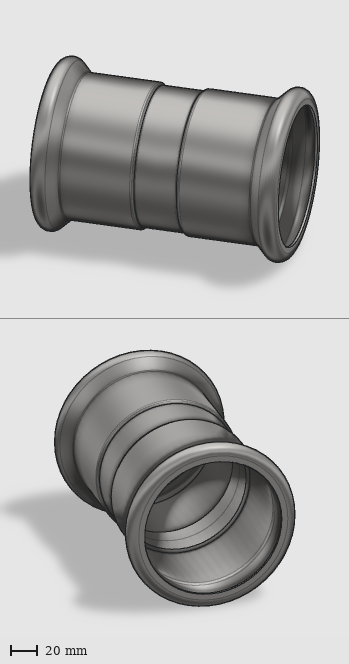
import cadquery as cq
import math

length = 192.0
bead_diameter = 132.7
bead_round = 7.7
flare_angle = math.radians(44)
body_diameter = 112.0
body_bore_diameter = 108.0
neck_diameter = 108.0
neck_bore_diameter = 101.8
neck_half_length = 16.5
flare_blend = 1.7
step_blend = 2.0

half_length = length / 2
body_radius = body_diameter / 2
bore_radius = body_bore_diameter / 2
neck_radius = neck_diameter / 2
wall = body_radius - bore_radius

bead_x = half_length - bead_round
bead_radius = bead_diameter / 2 - bead_round

step_top_x = neck_half_length + body_radius - neck_radius


def flare_start(round_radius):
    """Point where a round of the bead runs tangentially into the flare."""
    return (
        bead_x - round_radius * math.sin(flare_angle),
        bead_radius + round_radius * math.cos(flare_angle),
    )


def flare_foot(round_radius, tube_radius):
    """Point where the flare meets the straight tube."""
    start_x, start_radius = flare_start(round_radius)
    return (start_x - (start_radius - tube_radius) / math.tan(flare_angle), tube_radius)


def revolve_about_x(profile):
    return profile.close().revolve(360, (0, 0, 0), (1, 0, 0))


def round_circle(solid, x, radius):
    """Round the circular edge lying in the plane at x."""
    margin = 0.02
    reach = bead_diameter
    at_x = cq.selectors.BoxSelector((x - margin, -reach, -reach), (x + margin, reach, reach))
    return solid.edges("%CIRCLE").edges(at_x).fillet(radius)


def make_outer_half():
    """Solid bounded by the outer surface, from the middle to the +X end."""
    foot = flare_foot(bead_round, body_radius)
    profile = (
        cq.Workplane("XY")
        .lineTo(0, neck_radius)
        .lineTo(neck_half_length, neck_radius)
        .lineTo(step_top_x, body_radius)
        .lineTo(*foot)
        .lineTo(*flare_start(bead_round))
        .threePointArc((bead_x, bead_radius + bead_round), (half_length, bead_radius))
        .lineTo(half_length, 0)
    )
    solid = revolve_about_x(profile)
    solid = round_circle(solid, neck_half_length, step_blend)
    solid = round_circle(solid, step_top_x, step_blend)
    return round_circle(solid, foot[0], flare_blend)


def make_body_cavity():
    """Space inside the body, flare and bead, up to the back of the end lip."""
    inner_round = bead_round - wall
    foot = flare_foot(inner_round, bore_radius)
    lip_back_x = half_length - wall
    profile = (
        cq.Workplane("XY")
        .moveTo(neck_half_length, 0)
        .lineTo(neck_half_length, bore_radius)
        .lineTo(*foot)
        .lineTo(*flare_start(inner_round))
        .threePointArc((bead_x, bead_radius + inner_round), (lip_back_x, bead_radius))
        .lineTo(lip_back_x, 0)
    )
    return round_circle(revolve_about_x(profile), foot[0], flare_blend + wall)


def make_bore(diameter, start_x):
    """Cylinder along X from start_x to the +X end."""
    return cq.Workplane("YZ", origin=(start_x, 0, 0)).circle(diameter / 2).extrude(half_length - start_x)


half = (
    make_outer_half()
    .cut(make_body_cavity())
    .cut(make_bore(neck_bore_diameter, 0))
    .cut(make_bore(body_bore_diameter, neck_half_length))
)
result = half.union(half.rotate((0, 0, 0), (0, 0, 1), 180)).clean()